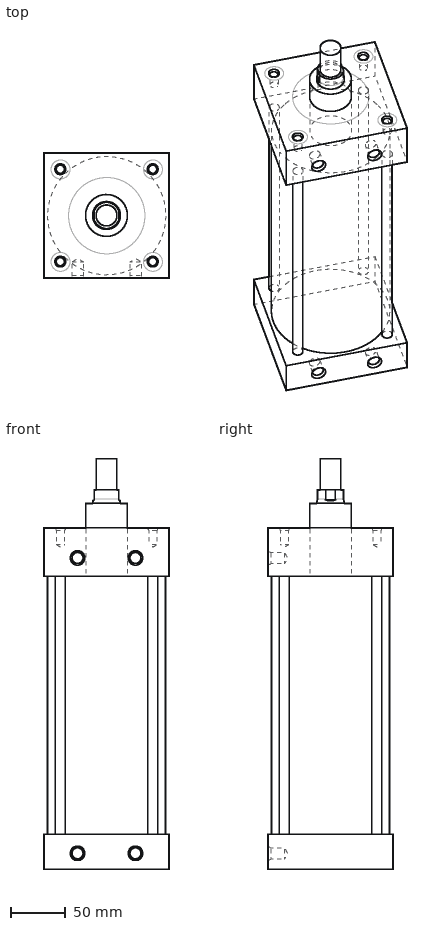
import cadquery as cq
import math

TOTAL_HEIGHT = 374.5
BLOCK_SIDE = 114.3

CAP_HEIGHT = 32.2
HEAD_TOP = 311.5
HEAD_HEIGHT = 44.2
HEAD_BOTTOM = HEAD_TOP - HEAD_HEIGHT
TUBE_DIAMETER = 108.0
TUBE_LENGTH = HEAD_BOTTOM - CAP_HEIGHT
GLAND_DIAMETER = 69.5

TIE_ROD_PITCH = 84.3
TIE_ROD_DIAMETER = 9.5
NUT_DIAMETER = 17.2
NUT_HEIGHT = 9.0
MOUNT_HOLE_DIAMETER = 7.5
MOUNT_HOLE_MOUTH = 9.7
MOUNT_HOLE_DEPTH = 15.0

COUNTERSINK_ANGLE = 60.0
DRILL_POINT_ANGLE = 118.0

PORT_PITCH = 53.0
PORT_DIAMETER = 10.0
PORT_MOUTH = 13.0
PORT_DEPTH = 15.0
HEAD_PORT_Z = 284.0
CAP_PORT_Z = 14.5

ROD_DIAMETER = 38.2
ROD_SHOULDER_Z = 334.0
NECK_DIAMETER = 24.0
NECK_TOP_Z = 346.0
FLARE_DIAMETER = 25.5
FLARE_TOP_Z = 338.0
FLARE_BOTTOM_Z = 334.5
STUD_DIAMETER = 19.0
FLAT_WIDTH = 22.5
FLAT_BOTTOM_Z = 337.0
FLAT_RUNOUT = 2.0


def cylinder(diameter, height, z, x=0, y=0):
    """Vertical cylinder standing on height z."""
    return cq.Workplane("XY", origin=(x, y, z)).circle(diameter / 2).extrude(height)


def block(height, z):
    """Square end block standing on height z."""
    return cq.Workplane("XY", origin=(0, 0, z)).rect(BLOCK_SIDE, BLOCK_SIDE).extrude(height)


def tapped_hole(diameter, mouth_diameter, depth, mouth, direction):
    """Cutter for a drilled blind hole: countersunk mouth, bore to depth, then a drill point."""
    radius = diameter / 2
    mouth_height = (mouth_diameter / 2 - radius) / math.tan(math.radians(COUNTERSINK_ANGLE / 2))
    point_height = radius / math.tan(math.radians(DRILL_POINT_ANGLE / 2))
    bore = cq.Solid.makeCylinder(radius, depth, mouth, direction)
    mouth_cone = cq.Solid.makeCone(mouth_diameter / 2, radius, mouth_height, mouth, direction)
    point = cq.Solid.makeCone(radius, 0, point_height, mouth + direction * depth, direction)
    return bore.fuse(mouth_cone, point)


def make_housing():
    """Cap, tube, head, tie rods and gland as one solid with its holes."""
    housing = block(CAP_HEIGHT, 0)
    housing = housing.union(cylinder(TUBE_DIAMETER, TUBE_LENGTH, CAP_HEIGHT))
    housing = housing.union(block(HEAD_HEIGHT, HEAD_BOTTOM))

    corner = TIE_ROD_PITCH / 2
    corners = [(x, y) for x in (-corner, corner) for y in (-corner, corner)]
    for x, y in corners:
        housing = housing.union(cylinder(TIE_ROD_DIAMETER, TUBE_LENGTH, CAP_HEIGHT, x, y))

    for z in (CAP_PORT_Z, HEAD_PORT_Z):
        for x in (-PORT_PITCH / 2, PORT_PITCH / 2):
            mouth = cq.Vector(x, -BLOCK_SIDE / 2, z)
            port = tapped_hole(PORT_DIAMETER, PORT_MOUTH, PORT_DEPTH, mouth, cq.Vector(0, 1, 0))
            housing = housing.cut(port)

    gland = cylinder(GLAND_DIAMETER, HEAD_HEIGHT, HEAD_BOTTOM)
    housing = housing.union(gland, clean=False)
    for x, y in corners:
        nut = cylinder(NUT_DIAMETER, NUT_HEIGHT, HEAD_TOP - NUT_HEIGHT, x, y)
        housing = housing.union(nut, clean=False)
        mouth = cq.Vector(x, y, HEAD_TOP)
        hole = tapped_hole(
            MOUNT_HOLE_DIAMETER, MOUNT_HOLE_MOUTH, MOUNT_HOLE_DEPTH, mouth, cq.Vector(0, 0, -1)
        )
        housing = housing.cut(hole, clean=False)

    rod_bore = cylinder(ROD_DIAMETER, HEAD_HEIGHT, HEAD_BOTTOM)
    return housing.cut(rod_bore, clean=False)


def make_piston_rod():
    """Stepped rod with a conical flare, a flatted neck and a plain stud."""
    neck_radius = NECK_DIAMETER / 2
    flare_radius = FLARE_DIAMETER / 2
    profile = (
        cq.Workplane("XZ")
        .moveTo(0, HEAD_BOTTOM)
        .lineTo(ROD_DIAMETER / 2, HEAD_BOTTOM)
        .lineTo(ROD_DIAMETER / 2, ROD_SHOULDER_Z)
        .lineTo(flare_radius, ROD_SHOULDER_Z)
        .lineTo(flare_radius, FLARE_BOTTOM_Z)
        .lineTo(neck_radius, FLARE_TOP_Z)
        .lineTo(neck_radius, NECK_TOP_Z)
        .lineTo(STUD_DIAMETER / 2, NECK_TOP_Z)
        .lineTo(STUD_DIAMETER / 2, TOTAL_HEIGHT)
        .lineTo(0, TOTAL_HEIGHT)
        .close()
    )
    rod = profile.revolve(360, (0, 0, 0), (0, 1, 0))

    flat_x = FLAT_WIDTH / 2
    cutter_x = ROD_DIAMETER / 2
    flat_cutter = (
        cq.Workplane("XZ")
        .moveTo(flat_x, FLAT_BOTTOM_Z)
        .lineTo(flat_x, NECK_TOP_Z)
        .lineTo(cutter_x, NECK_TOP_Z)
        .lineTo(cutter_x, FLAT_BOTTOM_Z - FLAT_RUNOUT)
        .lineTo(flat_x + FLAT_RUNOUT, FLAT_BOTTOM_Z - FLAT_RUNOUT)
        .close()
        .extrude(NECK_DIAMETER / 2, both=True)
    )
    return rod.cut(flat_cutter).cut(flat_cutter.mirror("YZ"))


housing = make_housing()
piston_rod = make_piston_rod()
result = cq.Compound.makeCompound([housing.solids().val(), piston_rod.solids().val()])